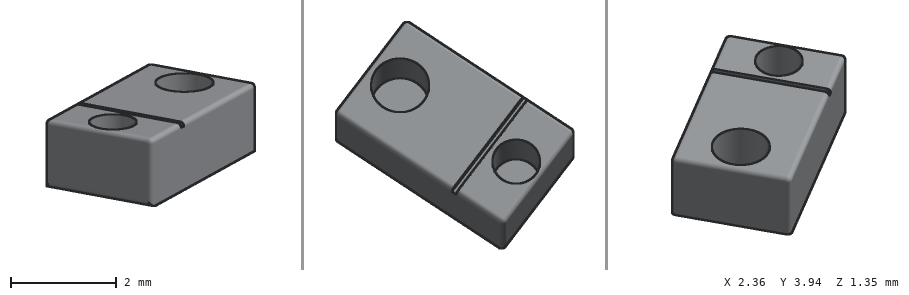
import cadquery as cq

width = 2.36
length = 3.94
height = 1.35
edge_radius = 0.1

groove_width = 0.1
groove_depth = 0.08
groove_from_front = 1.155

hole_depth = 1.0
front_hole_diameter = 0.902
front_hole_from_front = 0.545
rear_hole_diameter = 1.1
rear_hole_from_front = 3.24

front_y = -length / 2


def plain_block():
    return cq.Workplane("XY").box(width, length, height, centered=(True, True, False))


def rounded_block():
    """Block with rounded upright, top and front bottom edges."""
    upright_rounded = plain_block().edges("|Z").fillet(edge_radius)
    upright_rounded = upright_rounded.faces(">Z").edges().fillet(edge_radius)
    bottom_rounded = plain_block().faces("<Z").edges("<Y").fillet(edge_radius)
    return upright_rounded.intersect(bottom_rounded)


def groove():
    return (
        cq.Workplane("XY", origin=(0, front_y + groove_from_front, height - groove_depth))
        .box(width, groove_width, groove_depth, centered=(True, True, False))
    )


def hole(diameter, from_front):
    return (
        cq.Workplane("XY", origin=(0, front_y + from_front, height))
        .circle(diameter / 2)
        .extrude(-hole_depth)
    )


result = (
    rounded_block()
    .cut(groove())
    .cut(hole(front_hole_diameter, front_hole_from_front))
    .cut(hole(rear_hole_diameter, rear_hole_from_front))
)